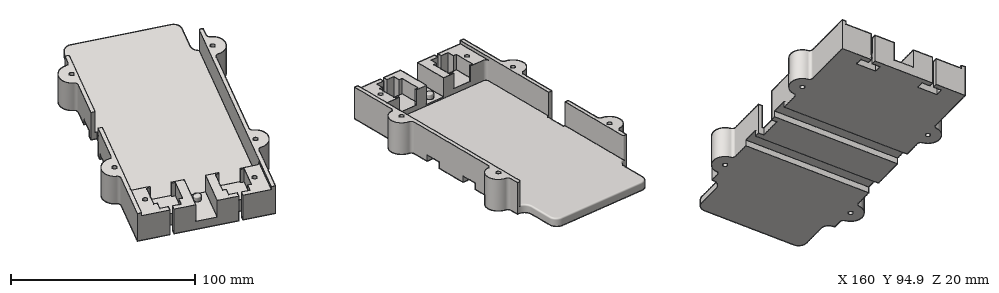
import cadquery as cq
import math

length = 160.0
wall_height = 20.0

groove_offset = 14.9
groove_width = 10.0
groove_depth = 4.0
groove_roof = 1.0
floor_height = groove_depth + groove_roof

pick_margin = 0.2

wall_start_x = 25.0
outer_width = 78.4
wall_thickness = 2.4
wall_end_fillet = 1.0
inner_width = outer_width - 2 * wall_thickness

tongue_width = 66.9
tongue_radius = 5.0
tongue_rim_fillet = 1.0

ear_positions = [(x, y) for x in (40.0, 120.0) for y in (-40.0, 40.0)]
ear_diameter = 14.9
ear_fillet = 2.0
screw_hole_diameter = 2.7

block_length = 21.6
block_start_x = length - block_length
block_height = 18.0
block_corner_radius = 2.0
block_hole_x = 147.7
block_hole_y = 31.0
block_hole_depth = 9.6

gap_width = 12.2
gap_floor = 6.0
pin_x = 142.9
pin_diameter = 4.5
pin_top = 9.0
pin_tip_fillet = 0.6

pocket_y = 19.5
pocket_start_x = 139.4
pocket_end_x = 152.6
pocket_width = 16.3
pocket_floor = 8.3
opening_width = 12.2
shaft_end_x = 157.1
cable_slot_width = 2.2

notch_x = 80.0
notch_width = 13.5
notch_bottom_y = -35.8


def box(x_range, y_range, z_range):
    """Box between the given pairs of coordinates."""
    (x0, x1), (y0, y1), (z0, z1) = x_range, y_range, z_range
    return cq.Workplane("XY").box(x1 - x0, y1 - y0, z1 - z0, centered=False).translate((x0, y0, z0))


def centered_box(x_range, y, width, z_range):
    """Box of the given width centred on y."""
    return box(x_range, (y - width / 2, y + width / 2), z_range)


def make_floor():
    """Floor plate with rounded tongue corners, a rounded rim and concave blends into the wide part."""
    edge = tongue_width / 2
    blend_y = edge + tongue_radius
    blend_x = wall_start_x - tongue_radius
    bend = tongue_radius * (1 - math.sqrt(0.5))
    half = (
        cq.Workplane("XY")
        .moveTo(length, 0)
        .lineTo(0, 0)
        .lineTo(0, edge - tongue_radius)
        .threePointArc((bend, edge - bend), (tongue_radius, edge))
        .lineTo(blend_x, edge)
        .threePointArc((wall_start_x - bend, edge + bend), (wall_start_x, blend_y))
        .lineTo(length, blend_y)
        .close()
        .extrude(floor_height)
    )
    plate = half.union(half.mirror("XZ"))
    rim = cq.selectors.BoxSelector((-pick_margin, -outer_width, floor_height - pick_margin),
                                   (wall_start_x + pick_margin, outer_width, floor_height + pick_margin))
    return plate.edges(rim).fillet(tongue_rim_fillet)


def make_walls():
    """Side walls with filleted screw ears and rounded inner corners at the tongue end."""
    body = centered_box((wall_start_x, length), 0, outer_width, (0, wall_height))
    ears = cq.Workplane("XY").pushPoints(ear_positions).circle(ear_diameter / 2).extrude(wall_height)
    body = body.union(ears)
    joints = cq.selectors.BoxSelector((wall_start_x + pick_margin, -outer_width, 0),
                                      (length - pick_margin, outer_width, wall_height))
    body = body.edges("|Z").edges(joints).fillet(ear_fillet)
    body = body.cut(centered_box((wall_start_x, length), 0, inner_width, (0, wall_height)))
    end_reach = inner_width / 2 + pick_margin
    inner_ends = cq.selectors.BoxSelector((wall_start_x - pick_margin, -end_reach, 0),
                                          (wall_start_x + pick_margin, end_reach, wall_height))
    return body.edges("|Z").edges(inner_ends).fillet(wall_end_fillet)


def make_block():
    """Connector block with concave corner fillets against the side walls."""
    block = centered_box((block_start_x, length), 0, inner_width, (0, block_height))
    for side in (-1, 1):
        corner_x = block_start_x - block_corner_radius
        wall_y = side * inner_width / 2
        corner_y = wall_y - side * block_corner_radius
        web = box((corner_x, block_start_x), sorted((wall_y, corner_y)), (0, block_height))
        round_cut = (
            cq.Workplane("XY").center(corner_x, corner_y).circle(block_corner_radius).extrude(block_height)
        )
        block = block.union(web.cut(round_cut))
    return block.cut(centered_box((block_start_x, length), 0, gap_width, (gap_floor, block_height)))


def make_pin():
    """Pin with a rounded tip."""
    return (
        cq.Workplane("XY")
        .center(pin_x, 0)
        .circle(pin_diameter / 2)
        .extrude(pin_top)
        .faces(">Z")
        .fillet(pin_tip_fillet)
    )


def connector_cut(y):
    """Pocket, front opening, vertical shaft and cable slot of one connector."""
    open_depth = (pocket_floor, block_height)
    through = (0, block_height)
    pocket = centered_box((pocket_start_x, pocket_end_x), y, pocket_width, open_depth)
    opening = centered_box((block_start_x, pocket_start_x), y, opening_width, open_depth)
    shaft = centered_box((pocket_end_x, shaft_end_x), y, opening_width, through)
    cable_slot = centered_box((shaft_end_x, length), y, cable_slot_width, through)
    return pocket.union(opening).union(shaft).union(cable_slot)


result = make_floor().union(make_walls()).union(make_block()).union(make_pin())

for side in (-1, 1):
    result = result.cut(connector_cut(side * pocket_y))
    block_hole = (
        cq.Workplane("XY", origin=(block_hole_x, side * block_hole_y, block_height))
        .circle(screw_hole_diameter / 2)
        .extrude(-block_hole_depth)
    )
    result = result.cut(block_hole)
    groove_x = notch_x + side * groove_offset
    groove_span = (groove_x - groove_width / 2, groove_x + groove_width / 2)
    groove = centered_box(groove_span, 0, outer_width, (0, groove_depth))
    result = result.cut(groove)

ear_holes = cq.Workplane("XY").pushPoints(ear_positions).circle(screw_hole_diameter / 2).extrude(wall_height)
notch_span = (notch_x - notch_width / 2, notch_x + notch_width / 2)
notch = box(notch_span, (-outer_width / 2, notch_bottom_y), (0, wall_height))
result = result.cut(ear_holes).cut(notch)